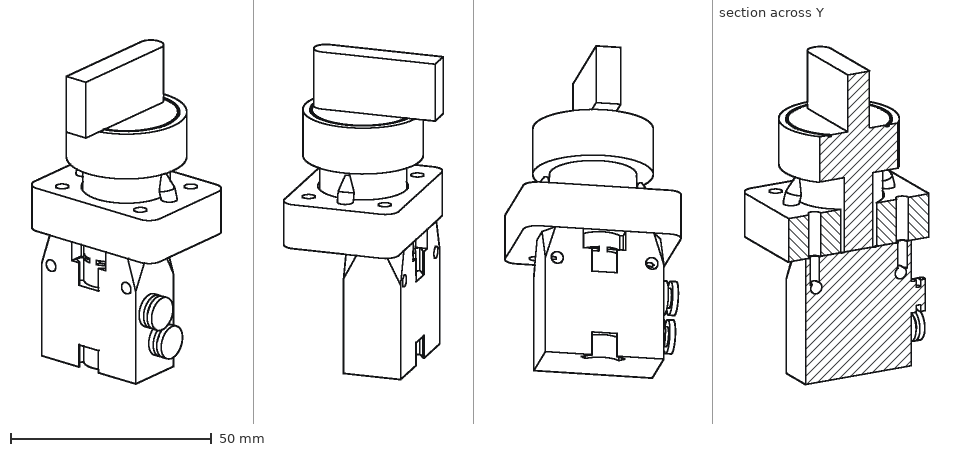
import cadquery as cq
import math

block_height = 33.0
base_thickness = 11.5
neck_exposed = 8.0
bezel_height = 12.0
total_height = 79.5
base_top = block_height + base_thickness
bezel_bottom = base_top + neck_exposed
bezel_top = bezel_bottom + bezel_height

bezel_diameter = 30.05
neck_diameter = 21.7
groove_outer_diameter = 26.5
groove_inner_diameter = 25.5
groove_depth = 0.5
handle_thickness = 6.3
handle_front_reach = 20.0
handle_back_reach = 12.8
handle_corner_radius = 3.0

base_length = 40.0
base_width = bezel_diameter
base_corner_radius = 3.5
base_bore_diameter = 22.5
base_hole_diameter = 3.25
base_hole_x = 12.5
base_hole_y = 10.0

point_diameter = 4.0
point_tip_diameter = 1.1
point_x = 13.6
point_tilt = 15.0
point_shank_length = 2.55
point_cone_length = 4.1
point_root_length = 2.4

block_length = bezel_diameter
block_front = -base_width / 2
block_depth = base_width / 2
block_mid_y = block_front + block_depth / 2
corner_cut_x = 2.55
corner_cut_y = 4.3
corner_cut_z = 8.2
cross_hole_diameter = 3.0
cross_hole_x = 12.0
cross_hole_z = block_height - 8.0
top_hole_diameter = 2.5
top_hole_depth = 7.0

post_radius = 6.0
slot_width = 6.3
slot_outer_radius = 7.8
upper_slot_height = 6.05
lower_slot_height = 6.0
window_width = 10.8
window_height = 5.0
window_bottom = block_height - window_height
window_depth = 3.7
notch_inner_x = 1.0
notch_width = 3.1
notch_height = 1.1
notch_depth = 3.25

terminal_diameter = 8.5
terminal_neck_diameter = 5.0
terminal_disc_thickness = 1.4
terminal_gap = 1.1
terminal_length = 2 * terminal_disc_thickness + terminal_gap
terminal_offset_y = 1.9
terminal_low_z = 9.2
terminal_pitch = 8.8


def cylinder(diameter, height, bottom):
    """Upright cylinder on the main axis."""
    return cq.Workplane("XY").workplane(offset=bottom).circle(diameter / 2).extrude(height)


def box(x_start, y_start, z_start, length, width, height):
    """Box placed by its lowest corner."""
    return cq.Workplane("XY").box(length, width, height, centered=False).translate((x_start, y_start, z_start))


def make_head():
    """Neck and bezel with a ring groove in the bezel face, and the handle on top."""
    neck = cylinder(neck_diameter, bezel_bottom - block_height, block_height)
    bezel = cylinder(bezel_diameter, bezel_height, bezel_bottom)
    groove_floor = bezel_top - groove_depth
    groove = cylinder(groove_outer_diameter, groove_depth, groove_floor).cut(
        cylinder(groove_inner_diameter, groove_depth, groove_floor)
    )
    handle = box(
        -handle_thickness / 2, -handle_front_reach, bezel_top,
        handle_thickness, handle_front_reach + handle_back_reach, total_height - bezel_top,
    )
    handle = handle.edges("|Z and >Y").fillet(handle_corner_radius)
    return neck.union(bezel.cut(groove)).union(handle)


def make_fixing_point(side):
    """Tilted shank with a conical tip; side is +1 or -1 along X."""
    shank_radius = point_diameter / 2
    tip_radius = point_tip_diameter / 2
    tip_z = point_shank_length + point_cone_length
    point = (
        cq.Workplane("XZ")
        .moveTo(0, -point_root_length)
        .lineTo(shank_radius, -point_root_length)
        .lineTo(shank_radius, point_shank_length)
        .lineTo(tip_radius, tip_z)
        .lineTo(0, tip_z)
        .close()
        .revolve(360, (0, 0, 0), (0, 1, 0))
    )
    point = point.rotate((0, 0, 0), (0, 1, 0), -side * point_tilt)
    return point.translate((side * point_x, 0, base_top))


def make_base():
    """Rounded plate with a bore for the neck, four holes and two fixing points."""
    plate = (
        cq.Workplane("XY")
        .workplane(offset=block_height)
        .rect(base_length, base_width)
        .extrude(base_thickness)
        .edges("|Z")
        .fillet(base_corner_radius)
    )
    holes = (
        cq.Workplane("XY")
        .workplane(offset=block_height)
        .rect(2 * base_hole_x, 2 * base_hole_y, forConstruction=True)
        .vertices()
        .circle(base_hole_diameter / 2)
        .extrude(base_thickness)
    )
    base = plate.cut(holes)
    for side in (-1, 1):
        base = base.union(make_fixing_point(side))
    return base.cut(cylinder(base_bore_diameter, base_thickness, block_height))


def make_corner_cut(side_x, side_y):
    """Three-sided wedge that bevels one upper corner of the block."""
    corner_x = side_x * block_length / 2
    corner_y = block_mid_y + side_y * block_depth / 2
    corner = cq.Vector(corner_x, corner_y, block_height)
    along_x = cq.Vector(corner_x - side_x * corner_cut_x, corner_y, block_height)
    along_y = cq.Vector(corner_x, corner_y - side_y * corner_cut_y, block_height)
    below = cq.Vector(corner_x, corner_y, block_height - corner_cut_z)
    triangles = [
        (corner, along_x, along_y),
        (corner, along_x, below),
        (corner, along_y, below),
        (along_x, along_y, below),
    ]
    faces = [cq.Face.makeFromWires(cq.Wire.makePolygon(list(t), close=True)) for t in triangles]
    return cq.Workplane(obj=cq.Solid.makeSolid(cq.Shell.makeShell(faces)))


def make_post(bottom, height):
    """Round post at the middle of the block."""
    return cylinder(2 * post_radius, height, bottom).translate((0, block_mid_y, 0))


def make_curved_slot(bottom, height):
    """Quarter ring around the post, with a narrower opening through the block front."""
    diagonal = slot_outer_radius * math.cos(math.pi / 4)
    sector = (
        cq.Workplane("XY")
        .workplane(offset=bottom)
        .lineTo(-diagonal, -diagonal)
        .threePointArc((0, -slot_outer_radius), (diagonal, -diagonal))
        .close()
        .extrude(height)
        .translate((0, block_mid_y, 0))
    )
    opening = box(-slot_width / 2, block_front, bottom, slot_width, block_depth / 2 - post_radius, height)
    return sector.union(opening).cut(make_post(bottom, height))


def make_window():
    """Wide recess below the base that leaves the post standing, and two notches in the post."""
    recess = box(-window_width / 2, block_front, window_bottom, window_width, window_depth, window_height)
    window = recess.cut(make_post(window_bottom, window_height))
    for notch_x in (-notch_inner_x - notch_width, notch_inner_x):
        notch = box(notch_x, block_front, window_bottom, notch_width, notch_depth, notch_height)
        window = window.union(notch)
    return window


def make_terminal(center_y, center_z):
    """Two discs joined by a thinner neck, along X."""
    side_x = block_length / 2
    face = cq.Workplane("YZ", origin=(side_x, center_y, center_z))
    inner_disc = face.circle(terminal_diameter / 2).extrude(terminal_disc_thickness)
    neck = face.circle(terminal_neck_diameter / 2).extrude(terminal_length)
    outer_disc = (
        face.workplane(offset=terminal_disc_thickness + terminal_gap)
        .circle(terminal_diameter / 2)
        .extrude(terminal_disc_thickness)
    )
    return inner_disc.union(neck).union(outer_disc)


def make_contact_block():
    """Box with beveled upper corners, cross holes, front slots and two terminal screws."""
    block = box(-block_length / 2, block_front, 0, block_length, block_depth, block_height)
    for side_x in (-1, 1):
        for side_y in (-1, 1):
            block = block.cut(make_corner_cut(side_x, side_y))
        cross_hole = (
            cq.Workplane("XZ", origin=(side_x * cross_hole_x, block_front, cross_hole_z))
            .circle(cross_hole_diameter / 2)
            .extrude(-block_depth)
        )
        top_hole = cylinder(top_hole_diameter, top_hole_depth, block_height - top_hole_depth)
        block = block.cut(cross_hole).cut(top_hole.translate((side_x * base_hole_x, -base_hole_y, 0)))
    block = block.cut(make_curved_slot(0, lower_slot_height))
    block = block.cut(make_curved_slot(window_bottom - upper_slot_height, upper_slot_height))
    block = block.cut(make_window())
    low_y = block_mid_y + terminal_offset_y
    high_y = block_mid_y - terminal_offset_y
    high_z = terminal_low_z + terminal_pitch
    for center_y, center_z in ((low_y, terminal_low_z), (high_y, high_z)):
        block = block.union(make_terminal(center_y, center_z))
    return block


head = make_head()
base = make_base()
contact_block = make_contact_block()

result = cq.Compound.makeCompound([head.val(), base.val(), contact_block.val()])